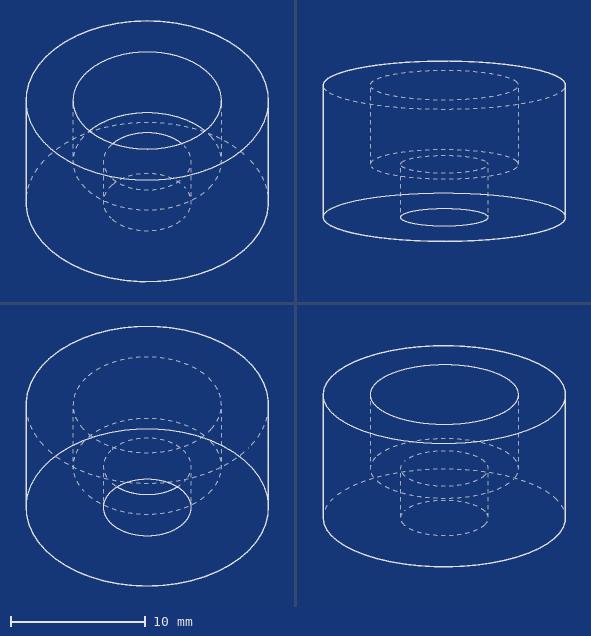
import cadquery as cq

outer_diameter = 18.0
height = 10.0
counterbore_diameter = 11.0
counterbore_depth = 6.0
hole_diameter = 6.5

body = cq.Workplane("XY").circle(outer_diameter / 2).extrude(height)

result = body.faces(">Z").workplane().cboreHole(
    hole_diameter, counterbore_diameter, counterbore_depth
)